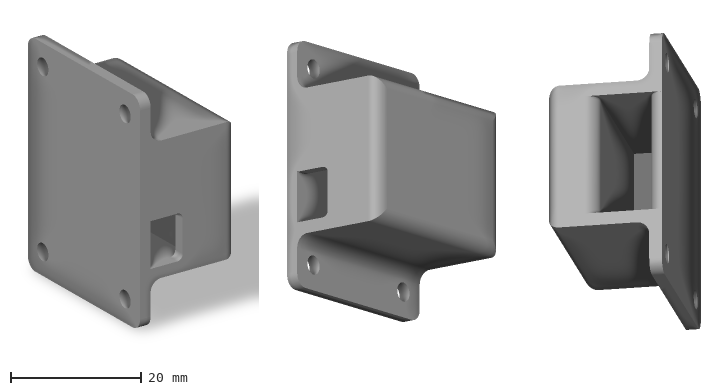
import cadquery as cq
import math

width = 30.0
depth = 18.0
height = 39.0
wall = 2.0
round_radius = 2.0
housing_height = 23.0
cavity_end_y = 10.02
hole_diameter = 3.0
hole_spacing_x = 22.0
hole_spacing_z = 31.0
window_depth = 6.0
window_height = 8.0
window_radius = 1.0

cavity_height = housing_height - 2 * wall
left_x = -width / 2
right_x = width / 2
arc_offset = round_radius * (1 - math.cos(math.pi / 4))


def box_between(x0, x1, y0, y1, z0, z1):
    """Axis-aligned box between opposite corners."""
    return cq.Workplane("XY").box(x1 - x0, y1 - y0, z1 - z0, centered=False).translate((x0, y0, z0))


def make_plate():
    """Mounting plate with rounded corners."""
    plate = box_between(left_x, right_x, 0, wall, -height / 2, height / 2)
    return plate.edges("|Y").fillet(round_radius)


def make_housing():
    """Block behind the plate with its back edges rounded."""
    half = housing_height / 2
    block = box_between(left_x, right_x, 0, depth, -half, half)
    return block.faces(">Y").edges().fillet(round_radius)


def make_root_fillet(side):
    """Concave fillet between plate and housing; side is 1 above, -1 below."""
    root_z = side * housing_height / 2
    tip_z = root_z + side * round_radius
    tip_y = wall + round_radius
    return (
        cq.Workplane("YZ", origin=(left_x, 0, 0))
        .moveTo(wall, root_z)
        .lineTo(tip_y, root_z)
        .threePointArc((wall + arc_offset, root_z + side * arc_offset), (wall, tip_z))
        .close()
        .extrude(width)
    )


def make_cavity():
    """Pocket open at -X, with convex lips flaring the mouth along Y."""
    lip_x = left_x + round_radius
    front_y = wall
    back_y = cavity_end_y
    lip_mid_x = left_x + arc_offset
    return (
        cq.Workplane("XY", origin=(0, 0, -cavity_height / 2))
        .moveTo(left_x, front_y - round_radius)
        .threePointArc((lip_mid_x, front_y - arc_offset), (lip_x, front_y))
        .lineTo(right_x - wall, front_y)
        .lineTo(right_x - wall, back_y)
        .lineTo(lip_x, back_y)
        .threePointArc((lip_mid_x, back_y + arc_offset), (left_x, back_y + round_radius))
        .close()
        .extrude(cavity_height)
    )


def make_window():
    """Opening through the +X wall at the bottom of the cavity, next to the plate."""
    bottom_z = -cavity_height / 2
    window = box_between(
        right_x - 2 * wall, right_x, wall, wall + window_depth, bottom_z, bottom_z + window_height
    )
    return window.edges("|X and >Y").fillet(window_radius)


def make_mounting_holes():
    """Four through holes near the plate corners."""
    return (
        cq.Workplane("XZ")
        .rect(hole_spacing_x, hole_spacing_z, forConstruction=True)
        .vertices()
        .circle(hole_diameter / 2)
        .extrude(-wall)
    )


result = make_plate().union(make_housing())
for side in (1, -1):
    result = result.union(make_root_fillet(side))
result = result.cut(make_cavity()).cut(make_window()).cut(make_mounting_holes())